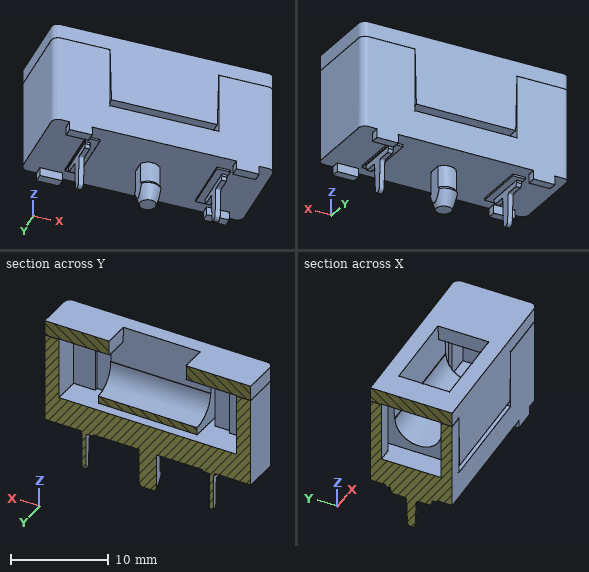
import cadquery as cq

LENGTH = 24.4
WIDTH = 9.4
CORNER_RADIUS = 0.75

BASE_HEIGHT = 10.5
LID_TOP = 12.25
OVERLAP = 0.25

SADDLE_HALF_LENGTH = 6.0
SADDLE_FLOOR = 3.3
POCKET_STEP_X = 7.93
POCKET_WIDE_HALF_WIDTH = 3.4
POCKET_NARROW_HALF_WIDTH = 3.0
END_WALL = 1.7

FOOT_INNER_X = 7.93
FOOT_LENGTH = 2.51
FOOT_WIDTH = 1.0
FOOT_HEIGHT = 1.0

PLATE_INNER_X = 6.45
PLATE_HALF_WIDTH = 3.0
PLATE_THICKNESS = 0.22
TAG_INNER_X = 7.25
TAG_THICKNESS = 0.55
TAG_SHOULDER_HALF_WIDTH = 2.4
TAG_SHOULDER_BOTTOM = -0.88
TAG_CHAMFER_WIDTH = 0.2
TAG_CHAMFER_HEIGHT = 0.4
TAG_STEM_TOP_HALF_WIDTH = 0.59
TAG_FILLET_RADIUS = 0.22
TAG_TIP_RADIUS = 0.46

POST_BOTTOM = -4.51
POST_RADIUS = 1.3
POST_BARB_RADIUS = 1.46
POST_TIP_RADIUS = 0.88
POST_NECK_BOTTOM = -2.45
POST_BARB_Z = -2.73
POST_FLAT_HALF_WIDTH = 1.07

CARRIER_TOP_HALF_LENGTH = 5.98
CARRIER_BOTTOM_HALF_LENGTH = 5.83
CARRIER_BOTTOM = 4.1
WINDOW_HALF_LENGTH = 4.55
CHANNEL_TOP_HALF_WIDTH = 2.9
CHANNEL_BOTTOM_HALF_WIDTH = 2.7
TROUGH_AXIS_Z = 7.69
TROUGH_RADIUS = 2.65


def rounded_block(bottom, top):
    """Block over the full plan with rounded upright corners."""
    return (
        cq.Workplane("XY", origin=(0, 0, bottom))
        .rect(LENGTH, WIDTH)
        .extrude(top - bottom)
        .edges("|Z")
        .fillet(CORNER_RADIUS)
    )


def box_between(x_range, y_range, z_range):
    """Box given by its lower and upper limits along each axis."""
    lows, highs = zip(x_range, y_range, z_range)
    sizes = [high - low for low, high in zip(lows, highs)]
    return cq.Workplane("XY").box(*sizes, centered=False).translate(lows)


def centred_box(half_length, half_width, z_range):
    """Box centred on the Z axis."""
    return box_between((-half_length, half_length), (-half_width, half_width), z_range)


def both_ends(feature):
    """The feature at +X together with its mirror image at -X."""
    return feature.union(feature.mirror("YZ"))


def base_openings():
    """Saddle opening through both long sides plus the stepped end pockets, all on one floor."""
    depth = (SADDLE_FLOOR, BASE_HEIGHT)
    saddle = centred_box(SADDLE_HALF_LENGTH, WIDTH / 2, depth)
    wide_pocket = centred_box(POCKET_STEP_X, POCKET_WIDE_HALF_WIDTH, depth)
    narrow_pocket = centred_box(LENGTH / 2 - END_WALL, POCKET_NARROW_HALF_WIDTH, depth)
    return saddle.union(wide_pocket).union(narrow_pocket)


def feet():
    """Four feet flush with the long sides."""
    x_range = (FOOT_INNER_X, FOOT_INNER_X + FOOT_LENGTH)
    y_range = (WIDTH / 2 - FOOT_WIDTH, WIDTH / 2)
    foot = box_between(x_range, y_range, (-FOOT_HEIGHT, OVERLAP))
    return both_ends(foot.union(foot.mirror("XZ")))


def solder_tag():
    """Contact plate and its solder tag at the +X end; the tag stem is filleted into its shoulder."""
    plate = box_between(
        (PLATE_INNER_X, FOOT_INNER_X),
        (-PLATE_HALF_WIDTH, PLATE_HALF_WIDTH),
        (-PLATE_THICKNESS, OVERLAP),
    )
    chamfer_top = TAG_SHOULDER_BOTTOM + TAG_CHAMFER_HEIGHT
    shoulder_bottom_half_width = TAG_SHOULDER_HALF_WIDTH - TAG_CHAMFER_WIDTH
    root_reach = TAG_STEM_TOP_HALF_WIDTH + OVERLAP
    stem_root_limits = (
        (TAG_INNER_X, -root_reach, TAG_SHOULDER_BOTTOM - OVERLAP),
        (TAG_INNER_X + TAG_THICKNESS, root_reach, TAG_SHOULDER_BOTTOM + OVERLAP),
    )
    tip_centre_z = POST_BOTTOM + TAG_TIP_RADIUS
    tag = (
        cq.Workplane("YZ", origin=(TAG_INNER_X, 0, 0))
        .moveTo(-TAG_SHOULDER_HALF_WIDTH, 0)
        .lineTo(-TAG_SHOULDER_HALF_WIDTH, chamfer_top)
        .lineTo(-shoulder_bottom_half_width, TAG_SHOULDER_BOTTOM)
        .lineTo(-TAG_STEM_TOP_HALF_WIDTH, TAG_SHOULDER_BOTTOM)
        .lineTo(-TAG_TIP_RADIUS, tip_centre_z)
        .threePointArc((0, POST_BOTTOM), (TAG_TIP_RADIUS, tip_centre_z))
        .lineTo(TAG_STEM_TOP_HALF_WIDTH, TAG_SHOULDER_BOTTOM)
        .lineTo(shoulder_bottom_half_width, TAG_SHOULDER_BOTTOM)
        .lineTo(TAG_SHOULDER_HALF_WIDTH, chamfer_top)
        .lineTo(TAG_SHOULDER_HALF_WIDTH, 0)
        .close()
        .extrude(TAG_THICKNESS)
        .edges(cq.selectors.BoxSelector(*stem_root_limits))
        .fillet(TAG_FILLET_RADIUS)
    )
    return plate.union(tag)


def locating_post():
    """Turned post with a snap barb, cut flat on its two X sides."""
    turned = (
        cq.Workplane("XZ")
        .moveTo(0, OVERLAP)
        .lineTo(POST_RADIUS, OVERLAP)
        .lineTo(POST_RADIUS, POST_NECK_BOTTOM)
        .lineTo(POST_BARB_RADIUS, POST_BARB_Z)
        .lineTo(POST_TIP_RADIUS, POST_BOTTOM)
        .lineTo(0, POST_BOTTOM)
        .close()
        .revolve(360, (0, 0), (0, 1))
    )
    between_flats = centred_box(POST_FLAT_HALF_WIDTH, POST_BARB_RADIUS, (POST_BOTTOM, OVERLAP))
    return turned.intersect(between_flats)


def make_base():
    """Holder base with feet, solder tags and locating post."""
    return (
        rounded_block(0, BASE_HEIGHT)
        .cut(base_openings())
        .union(feet())
        .union(both_ends(solder_tag()))
        .union(locating_post())
    )


def carrier_block():
    """Full-width block below the cover plate, narrowing slightly towards its bottom."""
    return (
        cq.Workplane("XZ", origin=(0, WIDTH / 2, 0))
        .polyline(
            [
                (-CARRIER_TOP_HALF_LENGTH, BASE_HEIGHT),
                (CARRIER_TOP_HALF_LENGTH, BASE_HEIGHT),
                (CARRIER_BOTTOM_HALF_LENGTH, CARRIER_BOTTOM),
                (-CARRIER_BOTTOM_HALF_LENGTH, CARRIER_BOTTOM),
            ]
        )
        .close()
        .extrude(WIDTH)
    )


def fuse_channel():
    """Fuse channel along X: drafted walls ending in a narrow ledge above a half-round trough."""
    return (
        cq.Workplane("YZ", origin=(-SADDLE_HALF_LENGTH, 0, 0))
        .moveTo(-CHANNEL_TOP_HALF_WIDTH, LID_TOP)
        .lineTo(-CHANNEL_BOTTOM_HALF_WIDTH, TROUGH_AXIS_Z)
        .lineTo(-TROUGH_RADIUS, TROUGH_AXIS_Z)
        .threePointArc((0, TROUGH_AXIS_Z - TROUGH_RADIUS), (TROUGH_RADIUS, TROUGH_AXIS_Z))
        .lineTo(CHANNEL_BOTTOM_HALF_WIDTH, TROUGH_AXIS_Z)
        .lineTo(CHANNEL_TOP_HALF_WIDTH, LID_TOP)
        .close()
        .extrude(2 * SADDLE_HALF_LENGTH)
    )


def make_lid():
    """Cover plate with the fuse carrier; the channel shows through a window in the plate."""
    window_limits = centred_box(WINDOW_HALF_LENGTH, WIDTH / 2, (BASE_HEIGHT, LID_TOP))
    window = fuse_channel().intersect(window_limits)
    carrier = carrier_block().cut(fuse_channel())
    return rounded_block(BASE_HEIGHT, LID_TOP).cut(window).union(carrier)


base = make_base()
lid = make_lid()
result = cq.Compound.makeCompound([base.val(), lid.val()])